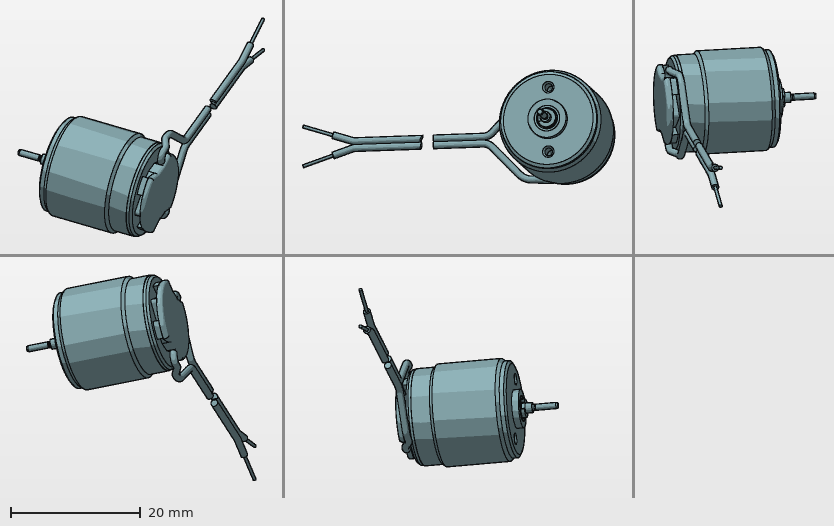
import cadquery as cq
import math


can_radius = 8.0
end_radius = 7.55
front_face_radius = 7.05
front_edge_length = 0.3
front_land_end = 1.0
body_start = 1.55
body_end = 11.5
rear_land_start = 12.0
rear_land_end = 14.95
rear_lip_radius = 7.45
rear_lip_end = 15.4
rear_face_radius = 7.1
can_length = 15.8

boss_radius = 3.0
boss_front = -1.05
bearing_radius = 2.0
bearing_front = -1.12
washer_radius = 1.45
washer_front = -1.65
slot_half_width = 0.5
slot_flare_start = 1.1
slot_flare_half_width = 0.85
bearing_groove_radius = 1.65
bearing_groove_depth = 0.15
collar_radius = 0.8
collar_front = -2.7
shaft_radius = 0.5
shaft_tip = -6.7
shaft_tip_bevel = 0.12
shaft_tip_length = 0.28
shaft_groove_radius = 0.42
shaft_groove_start = -3.2
shaft_groove_end = -3.0

mount_hole_offset = 5.05
mount_hole_radius = 0.6
mount_sink_radius = 0.9
mount_hole_depth = 2.5

hub_radius = 6.2
flange_radius = 6.32
flange_start = 16.75
flange_edge = 0.55
cap_back = 17.7
rib_height = 4.7
rib_floor_drop = 0.9
recess_floor_half = 2.85
recess_mouth_half = 3.25
rib_half_width = 1.08
fin_half_width = 0.5
fin_height = 5.85
fin_rounding = 0.3
fin_floor_drop = 3.0

wire_radius = 0.55
wire_offset = 0.54
cable_x = 15.72
cable_split_y = 13.3
spread_z = 6.45
spread_angle = math.radians(46)
split_bend_radius = 1.9
spread_bend_radius = 2.9
jog_start_y = 5.25
jog_end_y = 3.4
jog_bend_radius = 0.8
plunge_bend_radius = 1.2
terminal_x = 16.7
terminal_y = 1.68
near_break_y = 21.1
far_break_edge = [
    (22.77, 1.1),
    (23.2, 0.3),
    (23.03, 0),
    (23.03, -0.4),
    (23.2, -1.1),
]

strip_corner_y = 33.7
strip_bend_radius = 1.6
strip_angle = math.radians(18)
jacket_end_y = 36.9
strand_radius = 0.25
wire_tip_y = 41.7


def make_can():
    """Turned body: shaft, collar, washer, bearing boss and can in one revolve."""
    profile = [
        (shaft_tip, 0),
        (shaft_tip, shaft_radius - shaft_tip_bevel),
        (shaft_tip + shaft_tip_length, shaft_radius),
        (shaft_groove_start, shaft_radius),
        (shaft_groove_start, shaft_groove_radius),
        (shaft_groove_end, shaft_groove_radius),
        (shaft_groove_end, shaft_radius),
        (collar_front, shaft_radius),
        (collar_front, collar_radius),
        (washer_front, collar_radius),
        (washer_front, washer_radius),
        (bearing_front + bearing_groove_depth, washer_radius),
        (bearing_front + bearing_groove_depth, bearing_groove_radius),
        (bearing_front, bearing_groove_radius),
        (bearing_front, bearing_radius),
        (boss_front, bearing_radius),
        (boss_front, boss_radius),
        (0, boss_radius),
        (0, front_face_radius),
        (front_edge_length, end_radius),
        (front_land_end, end_radius),
        (body_start, can_radius),
        (body_end, can_radius),
        (rear_land_start, end_radius),
        (rear_land_end, end_radius),
        (rear_land_end, rear_lip_radius),
        (rear_lip_end, rear_lip_radius),
        (can_length, rear_face_radius),
        (can_length, 0),
    ]
    return cq.Workplane("XY").polyline(profile).close().revolve(360, (0, 0, 0), (1, 0, 0))


def make_washer_slot():
    """Cutter for the flared slot of the retaining washer, from the collar outwards."""
    points = [
        (collar_radius, slot_half_width),
        (slot_flare_start, slot_half_width),
        (washer_radius, slot_flare_half_width),
        (washer_radius, -slot_flare_half_width),
        (slot_flare_start, -slot_half_width),
        (collar_radius, -slot_half_width),
    ]
    return (
        cq.Workplane("YZ", origin=(washer_front, 0, 0))
        .polyline(points).close().extrude(bearing_front - washer_front)
    )


def make_mount_hole(z):
    """Countersunk blind hole with a conical bottom."""
    sink_depth = mount_sink_radius - mount_hole_radius
    profile = [
        (0, 0),
        (0, mount_sink_radius),
        (sink_depth, mount_hole_radius),
        (mount_hole_depth, mount_hole_radius),
        (mount_hole_depth + mount_hole_radius, 0),
    ]
    hole = cq.Workplane("XY").polyline(profile).close().revolve(360, (0, 0, 0), (1, 0, 0))
    return hole.translate((0, 0, z))


def make_hub_recess(crest_height, crest_half_width, floor_drop):
    """Cutter for a hub recess opening to +Z; its floor falls away from a flat central crest."""
    floor_z = crest_height - floor_drop
    mouth_z = math.sqrt(hub_radius**2 - recess_mouth_half**2)
    points = [
        (-crest_half_width, crest_height),
        (crest_half_width, crest_height),
        (recess_floor_half, floor_z),
        (recess_mouth_half, mouth_z),
        (recess_mouth_half, can_radius),
        (-recess_mouth_half, can_radius),
        (-recess_mouth_half, mouth_z),
        (-recess_floor_half, floor_z),
    ]
    return (
        cq.Workplane("YZ", origin=(can_length, 0, 0))
        .polyline(points).close().extrude(flange_start - can_length)
    )


def make_fin_crest():
    """Cap segment that rounds the crest of the fin in a side recess."""
    return (
        cq.Workplane("YZ", origin=(can_length, 0, 0))
        .moveTo(-fin_half_width, fin_height)
        .threePointArc((0, fin_height + fin_rounding), (fin_half_width, fin_height))
        .close().extrude(flange_start - can_length)
    )


def make_flange_notch():
    """Cutter for the flared flange notch opening to +Z, level with the rib at its bottom."""
    mouth_z = math.sqrt(flange_radius**2 - recess_mouth_half**2)
    points = [
        (-rib_half_width, rib_height),
        (rib_half_width, rib_height),
        (recess_mouth_half, mouth_z),
        (recess_mouth_half, can_radius),
        (-recess_mouth_half, can_radius),
        (-recess_mouth_half, mouth_z),
    ]
    return (
        cq.Workplane("YZ", origin=(flange_start, 0, 0))
        .polyline(points).close().extrude(cap_back - flange_start)
    )


def make_cap():
    """Rear cap: hub with four recesses, and a flange with two notches and a rounded back edge."""
    hub = cq.Workplane("YZ", origin=(can_length, 0, 0)).circle(hub_radius).extrude(flange_start - can_length)
    flange = (
        cq.Workplane("YZ", origin=(flange_start, 0, 0))
        .circle(flange_radius).extrude(cap_back - flange_start)
    )
    rib_recess = make_hub_recess(rib_height, rib_half_width, rib_floor_drop)
    fin_recess = make_hub_recess(fin_height, fin_half_width, fin_floor_drop).cut(make_fin_crest())
    for angle in (0, 180):
        hub = hub.cut(rib_recess.rotate((0, 0, 0), (1, 0, 0), angle))
        hub = hub.cut(fin_recess.rotate((0, 0, 0), (1, 0, 0), angle + 90))
        flange = flange.cut(make_flange_notch().rotate((0, 0, 0), (1, 0, 0), angle))
    flange = flange.faces(">X").edges().fillet(flange_edge)
    return hub.union(flange)


def sweep_round(corners, bend_radii, radius):
    """Round wire along a path of corner points, with a tangent arc of the given radius at each inner corner."""
    points = [cq.Vector(*corner) for corner in corners]
    start = points[0]
    edges = []
    for before, corner, after, bend_radius in zip(points, points[1:], points[2:], bend_radii):
        back = (before - corner).normalized()
        ahead = (after - corner).normalized()
        half_angle = back.getAngle(ahead) / 2
        setback = bend_radius / math.tan(half_angle)
        corner_gap = bend_radius / math.sin(half_angle) - bend_radius
        arc_start = corner + back * setback
        arc_middle = corner + (back + ahead).normalized() * corner_gap
        arc_end = corner + ahead * setback
        edges.append(cq.Edge.makeLine(start, arc_start))
        edges.append(cq.Edge.makeThreePointArc(arc_start, arc_middle, arc_end))
        start = arc_end
    edges.append(cq.Edge.makeLine(start, points[-1]))
    path = cq.Workplane(cq.Wire.assembleEdges(edges))
    section = cq.Plane(origin=points[0], normal=points[1] - points[0])
    return cq.Workplane(section).circle(radius).sweep(path)


def make_lead():
    """Upper motor lead: paired cable, spread, jog towards the back and plunge into the cap."""
    split_corner_y = cable_split_y - split_bend_radius * math.tan(spread_angle / 2)
    spread_corner_y = split_corner_y - (spread_z - wire_offset) / math.tan(spread_angle)
    corners = [
        (cable_x, near_break_y, wire_offset),
        (cable_x, split_corner_y, wire_offset),
        (cable_x, spread_corner_y, spread_z),
        (cable_x, jog_start_y, spread_z),
        (terminal_x, jog_end_y, spread_z),
        (terminal_x, terminal_y, spread_z),
        (terminal_x, terminal_y, rib_height - rib_floor_drop),
    ]
    bend_radii = [split_bend_radius, spread_bend_radius, jog_bend_radius, jog_bend_radius, plunge_bend_radius]
    return sweep_round(corners, bend_radii, wire_radius)


def make_stripped_wire():
    """Upper wire of the loose cable: jacket with a splayed end and a bare strand."""
    def on_splay(y):
        return (cable_x, y, wire_offset + (y - strip_corner_y) * math.tan(strip_angle))

    start = (cable_x, far_break_edge[0][0], wire_offset)
    corner = on_splay(strip_corner_y)
    jacket = sweep_round([start, corner, on_splay(jacket_end_y)], [strip_bend_radius], wire_radius)
    strand_overhang = strand_radius * math.sin(strip_angle)
    strand = sweep_round([corner, on_splay(wire_tip_y - strand_overhang)], [], strand_radius)
    return jacket.union(strand)


def make_ragged_break():
    """Cutter that trims the loose cable to its ragged break."""
    top_corner = (near_break_y, far_break_edge[0][1])
    bottom_corner = (near_break_y, far_break_edge[-1][1])
    points = [top_corner, *far_break_edge, bottom_corner]
    return (
        cq.Workplane("YZ", origin=(cable_x, 0, 0))
        .polyline(points).close().extrude(2 * wire_radius, both=True)
    )


def mirrored_pair(wire):
    """Wire fused with its mirror image below the XY plane."""
    return wire.union(wire.mirror("XY"))


motor = make_can().union(make_cap()).union(mirrored_pair(make_lead()))
motor = motor.cut(make_washer_slot())
for side in (1, -1):
    motor = motor.cut(make_mount_hole(side * mount_hole_offset))

loose_cable = mirrored_pair(make_stripped_wire()).cut(make_ragged_break())

result = cq.Compound.makeCompound([motor.val(), loose_cable.val()])